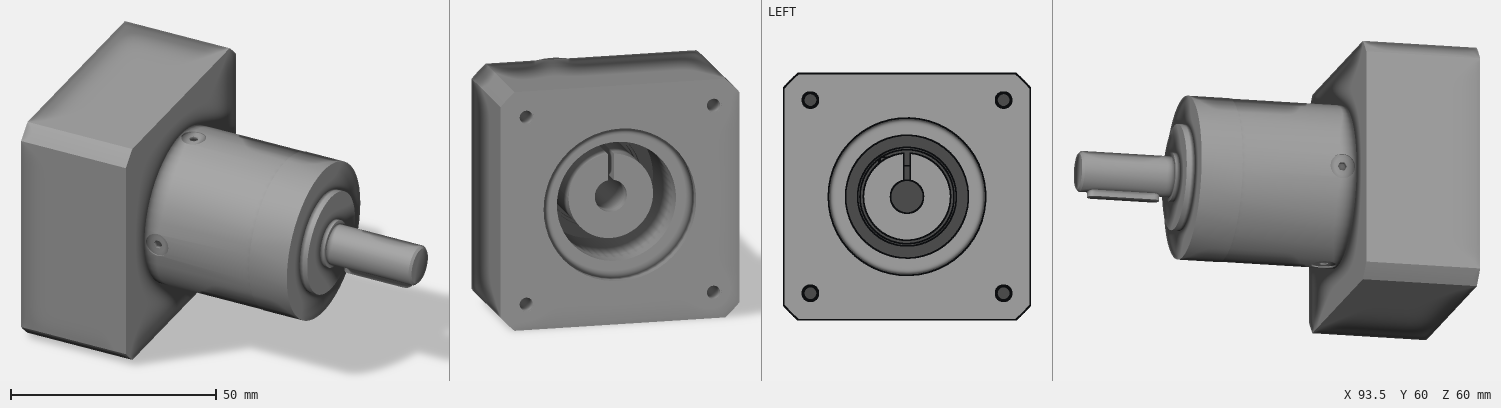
import cadquery as cq
import math

FLANGE_SIDE = 60.0
FLANGE_LENGTH = 28.5
FLANGE_CORNER_DIAMETER = 80.0

BODY_DIAMETER = 39.8
BODY_END = 57.0
HEAD_DIAMETER = 40.0
HEAD_END = 67.3
PILOT_DIAMETER = 26.0
PILOT_END = 69.4
COLLAR_DIAMETER = 12.0
COLLAR_END = 70.5
SHAFT_DIAMETER = 10.0
SHAFT_END = 93.5
SHAFT_CHAMFER = 0.6

KEY_START = 73.2
KEY_LENGTH = 18.0
KEY_WIDTH = 3.0
KEY_TOP_RADIUS = 6.4
KEY_SEAT_RADIUS = 3.0

PILOT_RECESS_DIAMETER = 38.3
PILOT_RECESS_DEPTH = 3.5
CAVITY_DIAMETER = 29.9
CAVITY_DEPTH = 26.2
SEAT_DIAMETER = 24.0
SEAT_DEPTH = 27.6
WELL_DIAMETER = 22.9
WELL_DEPTH = 29.9

HUB_DIAMETER = 21.2
HUB_FACE = 9.0
HUB_BORE_DIAMETER = 8.0
HUB_BORE_END = 37.4

CLAMP_SLOT_WIDTH = 1.5
DEEP_SLOT_END = 32.7
DEEP_SLOT_TOP_Z = 7.5

SCREW_DIAMETER = 2.1
SCREW_X = 24.3
SCREW_Z = 8.5
SCREW_TIP_Y = 6.8
SCREW_LENGTH = 2.8
SCREW_CHAMFER = 0.4

MOUNT_PITCH = 47.0
MOUNT_DIAMETER = 3.3
MOUNT_MOUTH_DIAMETER = 3.9
MOUNT_MOUTH_DEPTH = 0.1
MOUNT_DEPTH = 11.2

POCKET_X = 32.0
POCKET_DIAMETER = 6.1
POCKET_DEPTH = 0.5
SOCKET_ACROSS_FLATS = 2.0
SOCKET_DEPTH = 1.0
POCKET_COUNT = 4


def disc(diameter, start, end):
    """Cylinder on the X axis between two X positions."""
    return cq.Workplane("YZ").workplane(offset=start).circle(diameter / 2).extrude(end - start)


def flange():
    block = cq.Workplane("YZ").rect(FLANGE_SIDE, FLANGE_SIDE).extrude(FLANGE_LENGTH)
    return block.intersect(disc(FLANGE_CORNER_DIAMETER, 0, FLANGE_LENGTH))


def housing_and_shaft():
    shaft = disc(SHAFT_DIAMETER, COLLAR_END, SHAFT_END).faces(">X").chamfer(SHAFT_CHAMFER)
    return (
        disc(BODY_DIAMETER, FLANGE_LENGTH, BODY_END)
        .union(disc(HEAD_DIAMETER, BODY_END, HEAD_END))
        .union(disc(PILOT_DIAMETER, HEAD_END, PILOT_END))
        .union(disc(COLLAR_DIAMETER, PILOT_END, COLLAR_END))
        .union(shaft)
    )


def shaft_key():
    return (
        cq.Workplane("XY")
        .workplane(offset=-KEY_TOP_RADIUS)
        .center(KEY_START + KEY_LENGTH / 2, 0)
        .slot2D(KEY_LENGTH, KEY_WIDTH)
        .extrude(KEY_TOP_RADIUS - KEY_SEAT_RADIUS)
    )


def motor_recess():
    """Stepped recess, narrowing from the flange face to the floor of the well."""
    return (
        disc(PILOT_RECESS_DIAMETER, 0, PILOT_RECESS_DEPTH)
        .union(disc(CAVITY_DIAMETER, PILOT_RECESS_DEPTH, CAVITY_DEPTH))
        .union(disc(SEAT_DIAMETER, CAVITY_DEPTH, SEAT_DEPTH))
        .union(disc(WELL_DIAMETER, SEAT_DEPTH, WELL_DEPTH))
    )


def clamping_hub():
    screw_tip = (
        cq.Workplane("XZ", origin=(SCREW_X, SCREW_TIP_Y, SCREW_Z))
        .circle(SCREW_DIAMETER / 2)
        .extrude(SCREW_LENGTH)
        .faces(">Y")
        .chamfer(SCREW_CHAMFER)
    )
    return disc(HUB_DIAMETER, HUB_FACE, WELL_DEPTH).union(screw_tip)


def slot_cut(end, top_z):
    """Slot from the hub face to an X position, rising from the axis to a given height."""
    return cq.Workplane("XY", origin=(HUB_FACE, 0, 0)).box(
        end - HUB_FACE, CLAMP_SLOT_WIDTH, top_z, centered=(False, True, False)
    )


def hub_bore_and_slot():
    return (
        disc(HUB_BORE_DIAMETER, HUB_FACE, HUB_BORE_END)
        .union(slot_cut(WELL_DEPTH, HUB_DIAMETER / 2))
        .union(slot_cut(DEEP_SLOT_END, DEEP_SLOT_TOP_Z))
    )


def mounting_holes():
    tool = disc(MOUNT_DIAMETER, 0, MOUNT_DEPTH).union(disc(MOUNT_MOUTH_DIAMETER, 0, MOUNT_MOUTH_DEPTH))
    holes = cq.Workplane()
    for side_y in (-1, 1):
        for side_z in (-1, 1):
            holes = holes.add(tool.translate((0, side_y * MOUNT_PITCH / 2, side_z * MOUNT_PITCH / 2)))
    return holes.combine()


def socket_pockets():
    pocket_floor = BODY_DIAMETER / 2 - POCKET_DEPTH
    pocket = (
        cq.Workplane("XY", origin=(POCKET_X, 0, pocket_floor))
        .circle(POCKET_DIAMETER / 2)
        .extrude(POCKET_DEPTH)
    )
    socket_corner_diameter = SOCKET_ACROSS_FLATS / math.cos(math.pi / 6)
    socket = (
        cq.Workplane("XY", origin=(POCKET_X, 0, pocket_floor - SOCKET_DEPTH))
        .polygon(6, socket_corner_diameter)
        .extrude(SOCKET_DEPTH)
    )
    tool = pocket.union(socket)
    pockets = cq.Workplane()
    for index in range(POCKET_COUNT):
        pockets = pockets.add(tool.rotate((0, 0, 0), (1, 0, 0), index * 360 / POCKET_COUNT))
    return pockets.combine()


result = (
    flange()
    .union(housing_and_shaft())
    .union(shaft_key())
    .cut(motor_recess())
    .union(clamping_hub())
    .cut(hub_bore_and_slot())
    .cut(mounting_holes())
    .cut(socket_pockets())
)